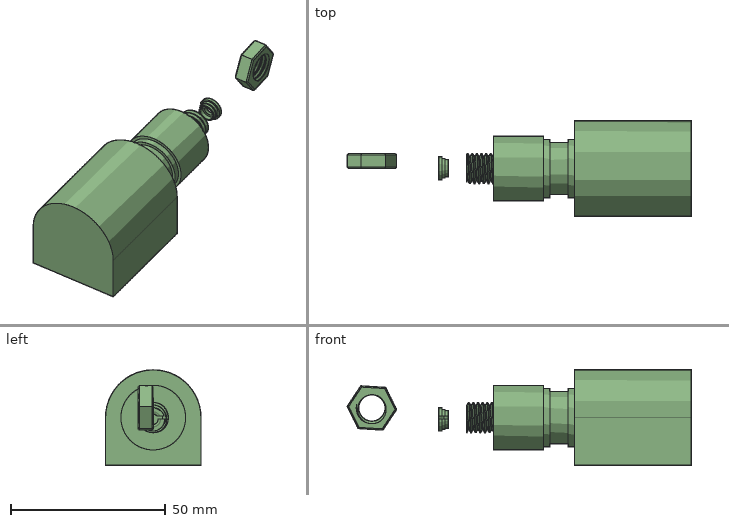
import cadquery as cq
import math


overall_length = 111.7

housing_width = 31.0
housing_length = 38.0

ring_diameter = 19.0
ring_thickness = 2.0
neck_diameter = 17.0
neck_length = 5.9
collar_diameter = 21.0
collar_length = 16.3
stud_length = 8.7
bore_diameter = 6.0

stud_turns = 5.8
thread_pitch = stud_length / stud_turns
thread_overrun = 2 * thread_pitch
crest_width = 0.2
ridge_sink = 0.1
stud_root_diameter = 8.2
stud_crest_diameter = 9.8
nut_minor_diameter = 8.5
nut_groove_diameter = 10.2
stud_thread_start = 0.3
nut_thread_exit_turn = 0.75

nut_across_flats = 14.0
nut_corner_radius = nut_across_flats / math.sqrt(3)
nut_thickness = 4.9
nut_chamfer = 0.5
nut_tilt = -3.6
nut_front_y = 0.0
nut_z = 3.1
nut_x = housing_length - overall_length + nut_corner_radius * math.cos(math.radians(nut_tilt))

ferrule_x = -44.0
ferrule_y = 0.1
ferrule_z = -0.6
ferrule_steps = [(7.6, 1.1), (6.5, 1.0), (5.8, 1.0)]
ferrule_length = sum(length for diameter, length in ferrule_steps)
ferrule_bore_diameter = 3.4
ferrule_mouth_radius = 0.8
ferrule_socket_diameter = 4.9
ferrule_socket_depth = 1.5
slit_width = 0.9
slit_z = 0.0

rear_ring_x = -ring_thickness
neck_x = rear_ring_x - neck_length
front_ring_x = neck_x - ring_thickness
collar_x = front_ring_x - collar_length
stud_x = collar_x - stud_length


def disc(diameter, start_x, length):
    """Cylinder on the X axis that runs from start_x toward +X."""
    return cq.Workplane("YZ", origin=(start_x, 0, 0)).circle(diameter / 2).extrude(length)


def threaded_rod(root_diameter, crest_diameter, length, start):
    """Rod around Z from 0 to length; its thread crest crosses the +X side at Z = start."""
    ridge_radius = root_diameter / 2 - ridge_sink
    crest_radius = crest_diameter / 2
    root_width = thread_pitch - crest_width
    long_length = length + 2 * thread_overrun
    helix = cq.Wire.makeHelix(thread_pitch, long_length, ridge_radius)
    ridge = (
        cq.Workplane("XZ")
        .polyline([
            (ridge_radius, -root_width / 2),
            (crest_radius, -crest_width / 2),
            (crest_radius, crest_width / 2),
            (ridge_radius, root_width / 2),
        ])
        .close()
        .sweep(cq.Workplane(obj=helix), isFrenet=True)
        .translate((0, 0, start - thread_overrun))
    )
    long_core = (
        cq.Workplane("XY", origin=(0, 0, -2 * thread_overrun))
        .circle(root_diameter / 2)
        .extrude(long_length + 2 * thread_overrun)
    )
    envelope = cq.Workplane("XY").circle(crest_diameter).extrude(length)
    return long_core.union(ridge).intersect(envelope)


def make_housing():
    """Block with vertical sides up to the axis and a half-round top."""
    radius = housing_width / 2
    return (
        cq.Workplane("YZ")
        .moveTo(-radius, -radius)
        .lineTo(radius, -radius)
        .lineTo(radius, 0)
        .threePointArc((0, radius), (-radius, 0))
        .close()
        .extrude(housing_length)
    )


def make_ring(start_x):
    return disc(ring_diameter, start_x, ring_thickness)


def make_neck():
    return disc(neck_diameter, neck_x, neck_length)


def make_fitting():
    """Collar with a hollow threaded stud in front of it."""
    stud = (
        threaded_rod(stud_root_diameter, stud_crest_diameter, stud_length, stud_thread_start)
        .rotate((0, 0, 0), (1, 1, 1), 120)
        .translate((stud_x, 0, 0))
    )
    collar = disc(collar_diameter, collar_x, collar_length)
    bore = disc(bore_diameter, stud_x, stud_length + collar_length)
    return collar.union(stud).cut(bore)


def make_ferrule():
    """Stepped ring with a rounded mouth, a socket in its back and one slit through its -Y side."""
    body = cq.Workplane("YZ")
    step_x = ferrule_x
    for diameter, length in ferrule_steps:
        body = body.union(disc(diameter, step_x, length))
        step_x += length
    body = body.cut(disc(ferrule_bore_diameter, ferrule_x, ferrule_length))
    body = body.cut(disc(ferrule_socket_diameter, step_x - ferrule_socket_depth, ferrule_socket_depth))
    mouth_edge = body.faces("<X").edges(cq.selectors.RadiusNthSelector(0))
    body = mouth_edge.fillet(ferrule_mouth_radius).translate((0, ferrule_y, ferrule_z))

    largest_diameter = ferrule_steps[0][0]
    slit = (
        cq.Workplane("XY", origin=(ferrule_x, ferrule_y, slit_z))
        .box(ferrule_length, largest_diameter, slit_width, centered=(False, False, True))
        .translate((0, -largest_diameter, 0))
    )
    return body.cut(slit)


def make_nut():
    """Hexagon nut with both faces chamfered and a helical groove in its hole."""
    blank = (
        cq.Workplane("XY")
        .polygon(6, 2 * nut_corner_radius)
        .extrude(nut_thickness)
        .faces("<Z or >Z")
        .chamfer(nut_chamfer)
        .rotate((0, 0, 0), (0, 0, 1), nut_tilt)
    )
    groove_start = (nut_thickness - nut_thread_exit_turn * thread_pitch) % thread_pitch
    hole = threaded_rod(nut_minor_diameter, nut_groove_diameter, nut_thickness, groove_start)
    return (
        blank.cut(hole)
        .rotate((0, 0, 0), (1, 0, 0), 90)
        .translate((nut_x, nut_front_y + nut_thickness, nut_z))
    )


housing = make_housing()
rings = [make_ring(x) for x in (front_ring_x, rear_ring_x)]
neck = make_neck()
fitting = make_fitting()
ferrule = make_ferrule()
nut = make_nut()

result = cq.Compound.makeCompound([
    housing.val(),
    *[ring.val() for ring in rings],
    neck.val(),
    fitting.val(),
    ferrule.val(),
    nut.val(),
])